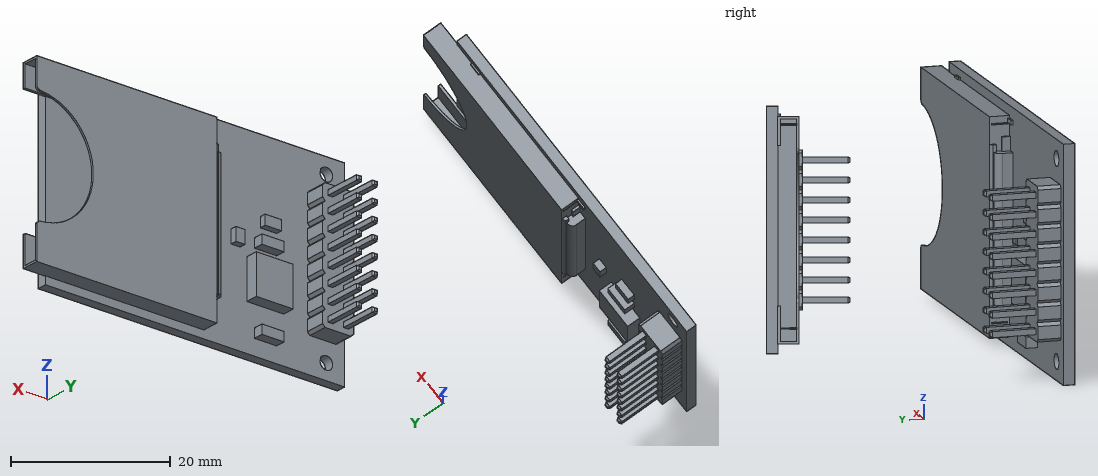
import cadquery as cq


total_length = 51.5
total_depth = 10.5
board_length = 48.0
board_height = 31.0
board_thickness = 1.5
hole_diameter = 2.0
hole_from_end = 2.95
hole_from_side = 2.45

pin_rows = 8
pin_columns = 2
header_left = 1.0
header_height = 3.05
header_length = 20.05
pin_pitch = header_length / pin_rows
header_width = pin_columns * pin_pitch
header_corner = 0.4
pin_width = 0.75
pin_tip_length = 0.25
pin_tip_inset = 0.15

chip = (9.8, 7.2, 5.9, 6.2, 1.9)
large_capacitor_left = 10.9
large_capacitor_size = (3.55, 1.45, 1.5)
large_capacitor_bottoms = (2.45, 14.95)
small_capacitor = (10.9, 18.0, 2.65, 1.55, 1.0)
resistor = (16.8, 14.4, 1.45, 2.05, 1.0)

socket_rear = 22.6
socket_bottom = 1.25
socket_top = 29.7
socket_height = 2.65
sheet = 0.3
lower_lip_width = 4.75
upper_lip_width = 3.65
lip_drop = 0.1
notch_radius = 9.05
notch_corner_radius = 0.6
lower_lip_edge = socket_bottom + lower_lip_width
upper_lip_edge = socket_top - upper_lip_width
notch_center_z = (lower_lip_edge + upper_lip_edge) / 2

slit_width = 0.15
slit_start = 0.25
slit_end = 2.3
slit_bottoms = (3.1, 28.65)

insulator_bottom = 5.6
ledge_top = 27.1
ledge_reach = 0.35
ledge_height = 1.1
rounded_block_top = 25.25
rounded_block_reach = 1.45
rounded_block_height = 2.2
rounded_block_radius = 0.8

tongue_bottom = 5.3
tongue_top = 26.15
tongue_reach = 0.5
tongue_slope_drop = 0.3
tongue_thickness = 0.75

tab_thickness = 0.25
rear_tab_bottom = 28.8
rear_tab_width = 0.6
side_tab_left = 43.1
side_tab_length = 1.7
side_tab_reach = 0.3


def block(left, right, front, back, bottom, top):
    """Box between the given limits in X, Y and Z."""
    return cq.Workplane("XY").box(
        right - left, back - front, top - bottom, centered=False
    ).translate((left, front, bottom))


def on_board(left, bottom, length, width, height):
    """Rectangular component standing on the populated face of the board."""
    return block(
        left, left + length,
        board_thickness, board_thickness + height,
        bottom, bottom + width,
    )


def make_plate():
    """Board plate with its two mounting holes."""
    plate = block(0, board_length, 0, board_thickness, 0, board_height)
    for z in (hole_from_side, board_height - hole_from_side):
        hole = (
            cq.Workplane("XZ")
            .center(hole_from_end, z)
            .circle(hole_diameter / 2)
            .extrude(-board_thickness)
        )
        plate = plate.cut(hole)
    return plate


def make_pin(x, z):
    """Square pin rising from the board, with a tapered tip."""
    shaft_end = total_depth - pin_tip_length
    shaft_length = shaft_end - board_thickness
    shaft = (
        cq.Workplane("XZ", origin=(x, board_thickness, z))
        .rect(pin_width, pin_width)
        .extrude(-shaft_length)
    )
    tip_width = pin_width - 2 * pin_tip_inset
    tip = (
        cq.Workplane("XZ", origin=(x, shaft_end, z))
        .rect(pin_width, pin_width)
        .workplane(offset=-pin_tip_length)
        .rect(tip_width, tip_width)
        .loft()
    )
    return shaft.union(tip)


def make_header():
    """Row of segments with cut corners, each carrying a pair of pins."""
    header_bottom = (board_height - header_length) / 2
    header = cq.Workplane("XY")
    for row in range(pin_rows):
        segment_bottom = header_bottom + row * pin_pitch
        segment = on_board(
            header_left, segment_bottom, header_width, pin_pitch, header_height
        ).edges("|Y").chamfer(header_corner)
        header = header.union(segment)
        for column in range(pin_columns):
            pin_x = header_left + (column + 0.5) * pin_pitch
            header = header.union(make_pin(pin_x, segment_bottom + pin_pitch / 2))
    return header


def make_board():
    """Board plate together with the parts mounted on it, except the socket."""
    board = make_plate().union(make_header())
    for component in (chip, small_capacitor, resistor):
        board = board.union(on_board(*component))
    for bottom in large_capacitor_bottoms:
        board = board.union(on_board(large_capacitor_left, bottom, *large_capacitor_size))
    return board


def make_socket_shell():
    """Sheet cover open towards +X, with an inward lip along each lower edge."""
    base = board_thickness
    cover = base + socket_height
    shell = block(socket_rear, total_length, base, cover, socket_bottom, socket_top)
    cavity = block(
        socket_rear + sheet, total_length,
        base + sheet, cover - sheet,
        socket_bottom + sheet, socket_top - sheet,
    )
    gap_between_lips = block(
        socket_rear + sheet, total_length,
        base, base + sheet,
        lower_lip_edge, upper_lip_edge,
    )
    shell = shell.cut(cavity).cut(gap_between_lips)
    return shell.cut(make_finger_notch())


def make_finger_notch():
    """Cutter for the half-round finger notch in the cover, with rounded outer corners."""
    cover = board_thickness + socket_height
    notch = (
        cq.Workplane("XZ", origin=(total_length, cover - sheet, notch_center_z))
        .circle(notch_radius)
        .extrude(-sheet)
    )
    cover_sheet = block(
        socket_rear, total_length, cover - sheet, cover, socket_bottom, socket_top
    )
    notched_sheet = cover_sheet.cut(notch)
    corner_box = cq.selectors.BoxSelector(
        (total_length - sheet, cover - 2 * sheet, notch_center_z - notch_radius - sheet),
        (total_length + sheet, cover + sheet, notch_center_z + notch_radius + sheet),
    )
    notched_sheet = notched_sheet.edges("|Y").edges(corner_box).fillet(notch_corner_radius)
    return cover_sheet.cut(notched_sheet)


def make_lip_drop(bottom, top):
    """Part of a lip past the board end, hanging slightly below the board surface."""
    return block(
        board_length, total_length,
        board_thickness - lip_drop, board_thickness + sheet,
        bottom, top,
    )


def make_slit(bottom):
    """Narrow cutter through the rear wall of the socket."""
    return block(
        socket_rear, socket_rear + sheet,
        board_thickness + slit_start, board_thickness + slit_end,
        bottom, bottom + slit_width,
    )


def make_insulator():
    """Low ledge and taller rounded block behind the rear wall."""
    ledge = on_board(
        socket_rear - ledge_reach, insulator_bottom,
        ledge_reach, ledge_top - insulator_bottom, ledge_height,
    )
    rounded_block = on_board(
        socket_rear - rounded_block_reach, insulator_bottom,
        rounded_block_reach, rounded_block_top - insulator_bottom, rounded_block_height,
    ).edges("|Z and <X and >Y").fillet(rounded_block_radius)
    return ledge.union(rounded_block)


def make_tongue():
    """Tongue that slopes down from the rear edge of the cover."""
    cover = board_thickness + socket_height
    tongue_end = socket_rear - tongue_reach
    return (
        cq.Workplane("XY", origin=(0, 0, tongue_bottom))
        .moveTo(socket_rear, cover)
        .lineTo(tongue_end, cover - tongue_slope_drop)
        .lineTo(tongue_end, cover - tongue_thickness)
        .lineTo(socket_rear, cover - tongue_thickness)
        .close()
        .extrude(tongue_top - tongue_bottom)
    )


def make_solder_tabs():
    """Thin tabs lying on the board at the rear wall and the top side."""
    rear_tab = on_board(
        socket_rear - rounded_block_reach, rear_tab_bottom,
        rounded_block_reach, rear_tab_width, tab_thickness,
    )
    side_tab = on_board(
        side_tab_left, socket_top, side_tab_length, side_tab_reach, tab_thickness
    )
    return rear_tab, side_tab


def make_socket():
    """Card socket resting on the board and reaching past its +X end."""
    socket = make_socket_shell()
    for bottom in slit_bottoms:
        socket = socket.cut(make_slit(bottom))
    socket = socket.union(make_lip_drop(socket_bottom, lower_lip_edge))
    socket = socket.union(make_lip_drop(upper_lip_edge, socket_top))
    socket = socket.union(make_insulator())
    socket = socket.union(make_tongue())
    for tab in make_solder_tabs():
        socket = socket.union(tab)
    return socket


board = make_board()
socket = make_socket()

result = cq.Compound.makeCompound([*board.solids().vals(), *socket.solids().vals()])